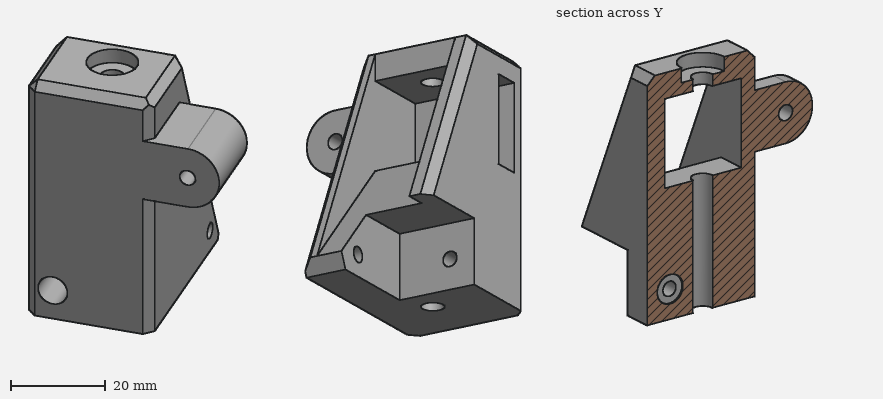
import cadquery as cq

width = 28.15
overall_width = 43.25
depth = 44.65
height = 56.6
bevel = 2.0
top_depth = 21.0
tip_height = 3.7
bottom_depth = 43.0

left_wall = 4.7
right_wall = 3.6
chamber_right = width - right_wall
chamber_front = 4.7
chamber_floor = 30.3
chamber_top = 50.55
slot_back = 10.9

notch_right = 18.45
notch_top = 14.95
foot_hole_y = 37.9
foot_hole_z = 5.0
foot_hole_diameter = 3.5

arm_radius = 7.1
arm_center_x = overall_width - arm_radius
arm_center_z = 40.0
arm_depth = 18.1
arm_hole_diameter = 3.5

top_hole_x = 14.55
top_hole_y = 13.9
top_hole_diameter = 5.05
top_bore_diameter = 11.05
top_bore_depth = 3.3
front_hole_x = 6.0
front_hole_z = 6.9
front_hole_diameter = 3.4
front_bore_diameter = 6.55
front_bore_depth = 14.15


def box(x0, x1, y0, y1, z0, z1):
    """Box between two limits on each axis."""
    return cq.Workplane("XY").box(x1 - x0, y1 - y0, z1 - z0, centered=False).translate((x0, y0, z0))


def cylinder_along_y(x, z, diameter, length):
    """Cylinder that starts at the front face and runs backwards."""
    return cq.Workplane("XZ", origin=(x, 0, z)).circle(diameter / 2).extrude(-length)


def corner_facet():
    """Tetrahedron that flattens the left front top corner where three bevels meet."""
    apex = cq.Vector(0, 0, height)
    a = cq.Vector(2 * bevel, 0, height)
    b = cq.Vector(0, 2 * bevel, height)
    c = cq.Vector(0, 0, height - 2 * bevel)
    triangles = [(apex, a, b), (apex, b, c), (apex, c, a), (a, b, c)]
    faces = [cq.Face.makeFromWires(cq.Wire.makePolygon(list(t), close=True)) for t in triangles]
    return cq.Workplane(obj=cq.Solid.makeSolid(cq.Shell.makeShell(faces)))


def beveled_body():
    """Block with a sloped back, cut to shape by one prism along each direction."""
    side_prism = (
        cq.Workplane("YZ")
        .polyline([
            (0, 0),
            (bottom_depth, 0),
            (depth, tip_height),
            (top_depth, height),
            (bevel, height),
            (0, height - bevel),
        ])
        .close()
        .extrude(width)
    )

    def beveled_prism(plane, section_depth, length):
        """Prism along the plane normal with bevels on its two leading edges."""
        return (
            cq.Workplane(plane)
            .polyline([
                (0, bevel),
                (bevel, 0),
                (width - bevel, 0),
                (width, bevel),
                (width, section_depth),
                (0, section_depth),
            ])
            .close()
            .extrude(length, both=True)
        )

    front_plane = cq.Plane(origin=(0, 0, 0), xDir=(1, 0, 0), normal=(0, 0, 1))
    top_plane = cq.Plane(origin=(0, 0, height), xDir=(1, 0, 0), normal=(0, 1, 0))
    slope_direction = (0, depth - top_depth, tip_height - height)
    slope_plane = cq.Plane(origin=(0, top_depth, height), xDir=(1, 0, 0), normal=slope_direction)
    reach = 2 * height
    body = side_prism
    for plane in (front_plane, top_plane, slope_plane):
        body = body.intersect(beveled_prism(plane, reach, reach))
    return body.cut(corner_facet())


def side_arm():
    """Rounded arm on the right, filling the body bevel where it joins."""
    root_x = width - bevel
    bar = box(root_x, arm_center_x, 0, arm_depth, arm_center_z - arm_radius, arm_center_z + arm_radius)
    return bar.union(cylinder_along_y(arm_center_x, arm_center_z, 2 * arm_radius, arm_depth))


def chamber():
    """Chamber with a flat floor, then a ramp down to the rear tip, open to the back."""
    return (
        cq.Workplane("YZ", origin=(left_wall, 0, 0))
        .polyline([
            (chamber_front, chamber_floor),
            (top_depth, chamber_floor),
            (depth, tip_height),
            (depth, height),
            (top_depth, height),
            (top_depth, chamber_top),
            (chamber_front, chamber_top),
        ])
        .close()
        .extrude(chamber_right - left_wall)
    )


def top_hole():
    """Counterbored hole down through the whole body."""
    hole = cq.Workplane("XY").center(top_hole_x, top_hole_y).circle(top_hole_diameter / 2).extrude(height)
    bore = (
        cq.Workplane("XY", origin=(top_hole_x, top_hole_y, height))
        .circle(top_bore_diameter / 2)
        .extrude(-top_bore_depth)
    )
    return hole.union(bore)


def front_hole():
    """Counterbored hole from the front face through to the notch."""
    hole = cylinder_along_y(front_hole_x, front_hole_z, front_hole_diameter, depth)
    return hole.union(cylinder_along_y(front_hole_x, front_hole_z, front_bore_diameter, front_bore_depth))


window = box(0, left_wall, chamber_front, slot_back, chamber_floor, chamber_top)
notch = box(0, notch_right, top_depth, depth, 0, notch_top)
foot_hole = (
    cq.Workplane("YZ", origin=(notch_right, foot_hole_y, foot_hole_z))
    .circle(foot_hole_diameter / 2)
    .extrude(width - notch_right)
)
arm_hole = cylinder_along_y(arm_center_x, arm_center_z, arm_hole_diameter, arm_depth)

result = beveled_body().cut(chamber()).union(side_arm())
for opening in (window, notch, foot_hole, arm_hole, top_hole(), front_hole()):
    result = result.cut(opening)